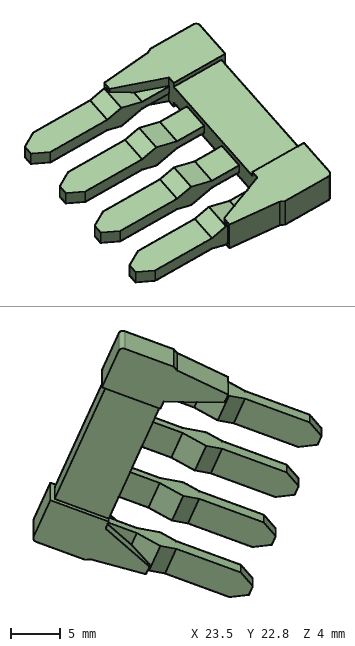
import cadquery as cq

length = 23.5
height = 4.0
depth = 22.77

beam_height = 2.68
beam_back = 0.47
beam_front = 6.37

block_width = 4.89
block_front = 12.08
corner_radius = 0.47
step_back = 5.8
step_front = 6.27
step_inset = 0.25
leg_outer_inset = 0.82
leg_inner_inset = 1.76
leg_root_inset = 4.05

tine_count = 4
tine_pitch = 6.09
tine_width = 3.0
tip_width = 1.05
root_thickness = 1.18
crest_thickness = 3.1
blade_thickness = 1.76
swell_start = 9.73
swell_crest = 12.3
swell_end = 14.03
taper_start = 21.05


def make_beam():
    """Plain bar joining the two end blocks."""
    span = length - block_width
    beam_depth = beam_front - beam_back
    return cq.Workplane("XY").box(span, beam_depth, beam_height).translate(
        (0, -(beam_back + beam_front) / 2, 0)
    )


def make_left_block():
    """End block with a stepped outer side and a tapering leg."""
    outer = -length / 2
    return (
        cq.Workplane("XY")
        .workplane(offset=-height / 2)
        .moveTo(outer, 0)
        .lineTo(outer + block_width, 0)
        .lineTo(outer + block_width, -beam_front)
        .lineTo(outer + leg_root_inset, -beam_front)
        .lineTo(outer + leg_inner_inset, -block_front)
        .lineTo(outer + leg_outer_inset, -block_front)
        .lineTo(outer + step_inset, -step_front)
        .lineTo(outer, -step_back)
        .close()
        .extrude(height)
        .edges(cq.selectors.NearestToPointSelector((outer, 0, 0)))
        .fillet(corner_radius)
    )


def make_tine():
    """Tine centred on X = 0: a swelling side profile cut to a pointed plan."""
    root = -(beam_back + beam_front) / 2
    half_profile = [
        (root, root_thickness / 2),
        (-swell_start, root_thickness / 2),
        (-swell_crest, crest_thickness / 2),
        (-swell_end, blade_thickness / 2),
        (-depth, blade_thickness / 2),
    ]
    mirrored_profile = [(y, -z) for y, z in reversed(half_profile)]
    side = (
        cq.Workplane("YZ")
        .polyline(half_profile + mirrored_profile)
        .close()
        .extrude(tine_width / 2, both=True)
    )
    plan = (
        cq.Workplane("XY")
        .moveTo(-tine_width / 2, root)
        .lineTo(tine_width / 2, root)
        .lineTo(tine_width / 2, -taper_start)
        .lineTo(tip_width / 2, -depth)
        .lineTo(-tip_width / 2, -depth)
        .lineTo(-tine_width / 2, -taper_start)
        .close()
        .extrude(height / 2, both=True)
    )
    return side.intersect(plan)


left_block = make_left_block()
result = make_beam().union(left_block).union(left_block.mirror("YZ"))

tine = make_tine()
for index in range(tine_count):
    tine_x = (index - (tine_count - 1) / 2) * tine_pitch
    result = result.union(tine.translate((tine_x, 0, 0)))